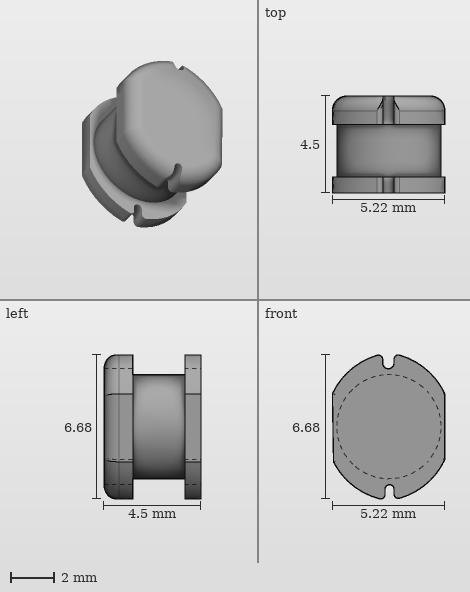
import math

import cadquery as cq

core_diameter = 4.83
core_offset_x = 0.014
front_flange_thickness = 0.75
winding_length = 2.42
back_flange_thickness = 1.33
back_rim_radius = 0.69
total_length = front_flange_thickness + winding_length + back_flange_thickness

half_width = 2.61
side_height = 3.08
left_side_lean = 0.05
slab_half_height = 2 * half_width

crown_radius = 3.344
crown_offset_x = 0.42
crown_offset_z = 0.109

lip_radius = 0.21
notch_right_wall = 0.245
top_notch_left_wall = -0.27
bottom_notch_left_wall = -0.16
notch_floor_z = 2.69
notch_cutter_top_z = crown_radius + lip_radius
NOTCH_WALL_X = {
    (1, 1): notch_right_wall,
    (1, -1): notch_right_wall,
    (-1, 1): top_notch_left_wall,
    (-1, -1): bottom_notch_left_wall,
}


def crown_centre(side, end):
    """Centre of a crown arc; side is left/right and end is bottom/top (-1/+1)."""
    return -side * crown_offset_x, end * crown_offset_z


def notch_lip(side, end):
    """Points of a rounded lip: its start on the crown, its middle, its end on the notch wall."""
    centre_x, centre_z = crown_centre(side, end)
    wall_x = NOTCH_WALL_X[side, end]
    lip_x = wall_x + side * lip_radius
    reach = crown_radius - lip_radius
    rise = math.sqrt(reach**2 - (lip_x - centre_x) ** 2)
    lip_z = centre_z + end * rise

    crown_angle = math.atan2(rise, side * (lip_x - centre_x))
    middle_angle = (crown_angle + math.pi) / 2

    def on_lip(angle):
        return lip_x + side * lip_radius * math.cos(angle), lip_z + end * lip_radius * math.sin(angle)

    return on_lip(crown_angle), on_lip(middle_angle), (wall_x, lip_z)


def extrusion_plane(start_y):
    """The XZ plane at start_y; it faces -Y, so extrusions toward +Y are negative."""
    return cq.Workplane("XZ").workplane(offset=-start_y)


def crown_plate(side, start_y, thickness):
    """Upright obround that bounds the upper and lower crowns on one side."""
    return (
        extrusion_plane(start_y)
        .center(-side * crown_offset_x, 0)
        .slot2D(2 * (crown_radius + crown_offset_z), 2 * crown_radius, angle=90)
        .extrude(-thickness)
    )


def side_slab(start_y, thickness):
    """Tall slab that bounds the flat sides of a flange."""
    left_middle = -half_width + left_side_lean / 2
    left_shift = left_side_lean / side_height * slab_half_height
    outline = [
        (half_width, slab_half_height),
        (left_middle - left_shift, slab_half_height),
        (left_middle + left_shift, -slab_half_height),
        (half_width, -slab_half_height),
    ]
    return extrusion_plane(start_y).polyline(outline).close().extrude(-thickness)


def flange(start_y, thickness, rim_radius=0):
    """Overlap of the two crown plates and the slab, each with its back rim rounded if asked."""
    plates = [crown_plate(side, start_y, thickness) for side in (-1, 1)]
    plates.append(side_slab(start_y, thickness))
    if rim_radius:
        plates = [plate.faces(">Y").edges().fillet(rim_radius) for plate in plates]
    left_crown, right_crown, slab = plates
    return left_crown.intersect(right_crown).intersect(slab)


def notch(end):
    """Cutter for one wire notch with rounded lips, running the full length of the part."""
    left_start, left_middle, left_end = notch_lip(-1, end)
    right_start, right_middle, right_end = notch_lip(1, end)
    left_wall = NOTCH_WALL_X[-1, end]
    right_wall = NOTCH_WALL_X[1, end]
    floor_radius = (right_wall - left_wall) / 2
    floor_x = (left_wall + right_wall) / 2
    floor_start_z = end * (notch_floor_z + floor_radius)
    outer_z = end * notch_cutter_top_z
    return (
        extrusion_plane(0)
        .moveTo(*left_start)
        .threePointArc(left_middle, left_end)
        .lineTo(left_wall, floor_start_z)
        .threePointArc((floor_x, end * notch_floor_z), (right_wall, floor_start_z))
        .lineTo(*right_end)
        .threePointArc(right_middle, right_start)
        .lineTo(right_start[0], outer_z)
        .lineTo(left_start[0], outer_z)
        .close()
        .extrude(-total_length)
    )


def winding_core():
    """Cylinder reaching halfway into each flange."""
    start_y = front_flange_thickness / 2
    end_y = total_length - back_flange_thickness / 2
    return (
        extrusion_plane(start_y)
        .center(core_offset_x, 0)
        .circle(core_diameter / 2)
        .extrude(start_y - end_y)
    )


front_flange = flange(0, front_flange_thickness)
back_flange = flange(front_flange_thickness + winding_length, back_flange_thickness, back_rim_radius)

result = winding_core().union(front_flange).union(back_flange)
for end in (1, -1):
    result = result.cut(notch(end))